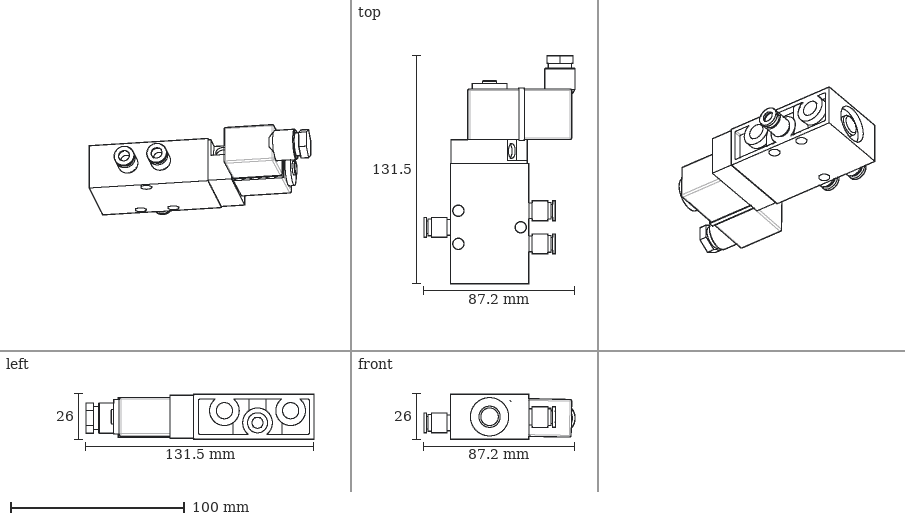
import cadquery as cq
import math


housing_width = 45.2
housing_length = 69.4
housing_height = 26.0
port_face_x = housing_width / 2

station_y = 32.6
mount_pitch = 19.1
mount_hole_r = 3.2
mount_hole_x = 35.9 / 2
port_r = 9.3 / 2
port_depth = 10.5
port_z = 7.0 / 2

pocket_y_start = 2.8
pocket_y_end = 66.7
pocket_height = 20.3
pocket_depth = port_face_x - mount_hole_x
pocket_corner_r = 0.8
port_boss_r = 8.5

recess_r = 11.0
recess_depth = 3.7
plug_r = 12.2 / 2
plug_length = 3.0
plug_chamfer = 1.0

head_x_min = -22.2
head_x_max = 21.8
head_length = 13.7
head_height = 25.0
head_end_y = housing_length + head_length

notch_x = 10.3
notch_slope_width = 5.1
notch_slope_drop = 9.7
notch_y = 71.0
override_r = 4.2
override_depth = 2.0
override_y = 76.5

solenoid_turn = 1.1
coil_x_min = -12.5
gasket_x = 16.8
gasket_width = 3.0
gasket_overhang = 0.5
connector_x_max = 47.2
coil_length = 29.2
coil_height = 21.8
coil_edge_r = 1.0
coil_end_y = head_end_y + coil_length

nut_r = 20.1 / 2
nut_length = 3.2
button_r = 4.1
button_length = 1.6
button_chamfer = 0.4

gland_x = 40.5
gland_r = 8.8
gland_start_y = 112.0
gland_end_y = 124.3
gland_chamfer = 0.5
gland_cone_length = 2.5
gland_cone_r = 7.2
neck_r = 6.7
hex_start_y = 127.0
hex_flats = 15.1
hex_turn = 30 - solenoid_turn
total_length = 131.5

fitting_steps = [(4.6, 1.8), (5.8, 9.1), (4.9, 2.0), (3.7, 0.8), (5.8, 1.6)]
fitting_bore_r = 3.2
fitting_bore_depth = 7.9
outlet_z_offset = 0.3


def y_cylinder(radius, y_start, y_end, x=0.0, z=0.0):
    """Cylinder along Y between two stations."""
    circle = cq.Workplane("XZ", origin=(x, y_start, z)).circle(radius)
    return circle.extrude(y_start - y_end)


def box_between(x_range, y_range, z_range):
    """Axis-aligned box given by its limits."""
    sizes = [limits[1] - limits[0] for limits in (x_range, y_range, z_range)]
    corner = (x_range[0], y_range[0], z_range[0])
    return cq.Workplane("XY").box(*sizes, centered=False).translate(corner)


def exhaust_pocket(bosses):
    """Volume removed from the exhaust side: a rounded pocket less the bosses left standing in it."""
    pocket = box_between(
        (-port_face_x, -port_face_x + pocket_depth),
        (pocket_y_start, pocket_y_end),
        (-pocket_height / 2, pocket_height / 2),
    )
    pocket = pocket.edges("|X").fillet(pocket_corner_r)
    for boss in bosses:
        pocket = pocket.cut(boss)
    return pocket


def make_housing():
    """Ported block with exhaust pocket, mounting holes and a recessed front plug."""
    half_height = housing_height / 2
    body = box_between((-port_face_x, port_face_x), (0, housing_length), (-half_height, half_height))

    exhaust_ports = [(station_y - mount_pitch, port_z), (station_y + mount_pitch, port_z)]
    boss_places = exhaust_ports + [(station_y, -port_z)]
    exhaust_face = cq.Workplane("YZ", origin=(-port_face_x, 0, 0))
    port_bosses = exhaust_face.pushPoints(boss_places).circle(port_boss_r).extrude(pocket_depth)

    side_mounts = [(-mount_hole_x, station_y + side * mount_pitch / 2) for side in (-1, 1)]
    mount_holes = side_mounts + [(mount_hole_x, station_y)]
    base = cq.Workplane("XY", origin=(0, 0, -half_height))
    mount_boss_r = port_face_x - mount_hole_x
    mount_bosses = base.pushPoints(side_mounts).circle(mount_boss_r).extrude(housing_height)

    body = body.cut(exhaust_pocket([port_bosses, mount_bosses]))
    body = body.cut(exhaust_face.pushPoints(exhaust_ports).circle(port_r).extrude(port_depth))
    body = body.cut(base.pushPoints(mount_holes).circle(mount_hole_r).extrude(housing_height))

    body = body.cut(y_cylinder(recess_r, 0, recess_depth))
    plug = y_cylinder(plug_r, recess_depth - plug_length, recess_depth)
    return body.union(plug.faces("<Y").chamfer(plug_chamfer))


def turned(shape):
    """Turn a solenoid shape about the valve axis."""
    return shape.rotate((0, 0, 0), (0, 1, 0), solenoid_turn)


def make_gasket():
    """Plate between coil and connector, standing slightly proud of both."""
    half_height = coil_height / 2 + gasket_overhang
    gasket = box_between(
        (gasket_x, gasket_x + gasket_width),
        (head_end_y - gasket_overhang, coil_end_y + gasket_overhang),
        (-half_height, half_height),
    )
    return turned(gasket)


def make_pilot_head():
    """Block with a sloped corner notch and a slot for the gasket's overhanging edge."""
    half_height = head_height / 2
    head = box_between(
        (head_x_min, head_x_max), (housing_length, head_end_y), (-half_height, half_height)
    )

    slope_end_x = notch_x + notch_slope_width
    floor_z = half_height - notch_slope_drop
    notch = (
        cq.Workplane("XZ", origin=(0, notch_y, 0))
        .moveTo(notch_x, half_height)
        .lineTo(slope_end_x, floor_z)
        .lineTo(head_x_max, floor_z)
        .lineTo(head_x_max, half_height)
        .close()
        .extrude(notch_y - head_end_y)
    )

    slope_centre = (notch_x + notch_slope_width / 2, override_y, half_height - notch_slope_drop / 2)
    slope_plane = cq.Plane(
        origin=slope_centre, xDir=(0, 1, 0), normal=(notch_slope_drop, 0, notch_slope_width)
    )
    override = cq.Workplane(slope_plane).circle(override_r).extrude(-override_depth)
    gasket_slot = make_gasket()
    return head.cut(notch).cut(override).cut(gasket_slot)


def make_gland():
    """Cable gland: cone rising out of the connector, barrel, neck and hexagonal cap."""
    cone_start_y = gland_start_y - gland_cone_length
    cone = (
        cq.Workplane("XZ", origin=(gland_x, cone_start_y, 0))
        .circle(gland_cone_r)
        .workplane(offset=-gland_cone_length)
        .circle(gland_r)
        .loft()
    )
    barrel = y_cylinder(gland_r, gland_start_y, gland_end_y, gland_x)
    barrel = barrel.faces(">Y").chamfer(gland_chamfer)
    neck = y_cylinder(neck_r, gland_end_y, hex_start_y, gland_x)
    hex_corners = hex_flats / math.cos(math.pi / 6)
    cap = (
        cq.Workplane("XZ", origin=(gland_x, hex_start_y, 0))
        .polygon(6, hex_corners)
        .extrude(hex_start_y - total_length)
        .rotate((gland_x, 0, 0), (gland_x, 1, 0), hex_turn)
    )
    return cone.union(barrel).union(neck).union(cap)


def make_solenoid():
    """Coil with nut and button, gasket, and connector with cable gland, as one solid."""
    half_height = coil_height / 2
    y_range = (head_end_y, coil_end_y)
    z_range = (-half_height, half_height)

    coil = box_between((coil_x_min, gasket_x), y_range, z_range)
    coil = coil.edges("(<X or >Y) and (not >X) and (not <Y)").fillet(coil_edge_r)
    connector = box_between((gasket_x + gasket_width, connector_x_max), y_range, z_range)
    connector = connector.edges("not <X").fillet(coil_edge_r)

    nut_end_y = coil_end_y + nut_length
    nut = y_cylinder(nut_r, coil_end_y, nut_end_y)
    button = y_cylinder(button_r, nut_end_y, nut_end_y + button_length)
    button = button.faces(">Y").chamfer(button_chamfer)

    solenoid = turned(coil.union(nut).union(button)).union(make_gasket())
    return solenoid.union(turned(connector.union(make_gland())))


def make_fitting():
    """Fitting along +X with its seat at the origin."""
    fitting = cq.Workplane("YZ")
    seat_x = 0.0
    for radius, length in fitting_steps:
        step = cq.Workplane("YZ", origin=(seat_x, 0, 0)).circle(radius).extrude(length)
        fitting = fitting.union(step)
        seat_x += length
    bore = cq.Workplane("YZ", origin=(seat_x, 0, 0)).circle(fitting_bore_r).extrude(-fitting_bore_depth)
    return fitting.cut(bore)


housing = make_housing()
pilot_head = make_pilot_head()
solenoid = make_solenoid()

inlet = make_fitting().rotate((0, 0, 0), (0, 0, 1), 180)
fittings = [inlet.translate((-port_face_x, station_y, -port_z))]
for side in (-1, 1):
    outlet_place = (port_face_x, station_y + side * mount_pitch / 2, side * outlet_z_offset)
    fittings.append(make_fitting().translate(outlet_place))

result = cq.Compound.makeCompound(
    [housing.val(), pilot_head.val(), solenoid.val()] + [fitting.val() for fitting in fittings]
)